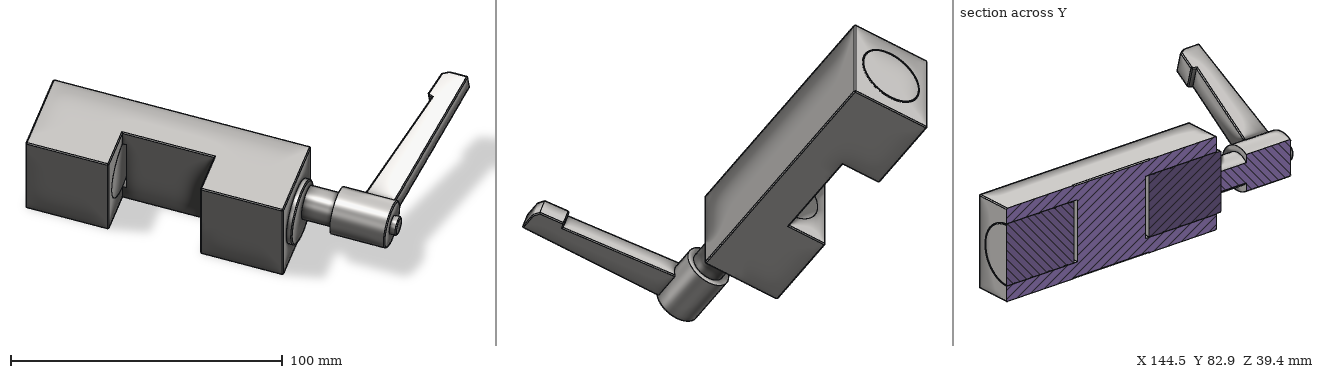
import cadquery as cq

OVERALL_LENGTH = 144.5

BLOCK_LENGTH = 100.0
BLOCK_WIDTH = 32.0
BLOCK_HEIGHT = 38.0
SLOT_LENGTH = 35.5
SLOT_DEPTH = BLOCK_WIDTH / 2
EDGE_CHAMFER = 0.5
JAW_LENGTH = (BLOCK_LENGTH - SLOT_LENGTH) / 2

BORE_DIAMETER = 25.0
BORE_OVERRUN = 1.5

FLANGE_HEIGHT = 2.2
DISC_CHAMFER = 0.5

LEVER_OFFSET_Y = 5.0
LEVER_ANGLE = 14.8
STEM_DIAMETER = 13.0
STEM_LENGTH = 11.8
HUB_DIAMETER = 18.0
HUB_LENGTH = 21.2
PIN_DIAMETER = 7.1
PIN_LENGTH = 2.6
TURNED_CHAMFER = 0.5

ARM_THICKNESS = 9.1
ARM_REACH = 63.0
ARM_CHAMFER = 0.5
TIP_LENGTH = 7.2
TIP_CORNER_X = 2.6
TIP_CORNER_DROP = 1.5
PAD_HEIGHT = 1.9
PAD_END_REACH = 52.0
NOTCH_REACH = 51.3
ROOT_FRONT = 14.6
ROOT_BACK = 2.3
NOTCH_FRONT = 1.0

FLANGE_END = BLOCK_LENGTH + FLANGE_HEIGHT
HUB_START = FLANGE_END + STEM_LENGTH
HUB_END = HUB_START + HUB_LENGTH


def cylinder_x(start, length, diameter):
    """Cylinder on the X axis."""
    return cq.Workplane("YZ", origin=(start, 0, 0)).circle(diameter / 2).extrude(length)


def make_block():
    """Slotted block with chamfered edges and a bore through each jaw."""
    slot_end = JAW_LENGTH + SLOT_LENGTH
    front = -BLOCK_WIDTH / 2
    back = BLOCK_WIDTH / 2
    slot_floor = front + SLOT_DEPTH
    outline = [
        (0, front),
        (JAW_LENGTH, front),
        (JAW_LENGTH, slot_floor),
        (slot_end, slot_floor),
        (slot_end, front),
        (BLOCK_LENGTH, front),
        (BLOCK_LENGTH, back),
        (0, back),
    ]
    bottom = cq.Workplane("XY", origin=(0, 0, -BLOCK_HEIGHT / 2))
    block = bottom.polyline(outline).close().extrude(BLOCK_HEIGHT)
    block = block.faces("<Z or >Z or <Y or <X or >X").edges().chamfer(EDGE_CHAMFER)
    bore_depth = JAW_LENGTH + BORE_OVERRUN
    for start in (0, BLOCK_LENGTH - bore_depth):
        block = block.cut(cylinder_x(start, bore_depth, BORE_DIAMETER))
    return block


def make_fixed_disc():
    """Disc that fills the bore of the first jaw, flush with both jaw faces."""
    return cylinder_x(0, JAW_LENGTH, BORE_DIAMETER).faces("<X").chamfer(DISC_CHAMFER)


def make_flanged_disc():
    """Disc that fills the bore of the second jaw and stands out beyond the block."""
    disc = cylinder_x(BLOCK_LENGTH - JAW_LENGTH, JAW_LENGTH + FLANGE_HEIGHT, BORE_DIAMETER)
    return disc.faces(">X").chamfer(DISC_CHAMFER)


def make_arm():
    """Tapered arm with a thumb pad at the tip, standing along +Y from the X axis."""
    root_back = HUB_END - ROOT_BACK
    back_lean = (OVERALL_LENGTH - root_back) / (ARM_REACH - ARM_CHAMFER)
    tip_back = root_back + back_lean * ARM_REACH
    tip_front = tip_back - TIP_LENGTH
    root_front = HUB_END - ROOT_FRONT
    notch_front = HUB_END - NOTCH_FRONT
    pad_end = (notch_front - PAD_HEIGHT, PAD_END_REACH)
    outline = [
        (root_front, 0),
        (notch_front, NOTCH_REACH),
        pad_end,
        (tip_front - TIP_CORNER_X, ARM_REACH - TIP_CORNER_DROP),
        (tip_front, ARM_REACH),
        (tip_back, ARM_REACH),
        (root_back, 0),
    ]
    underside = cq.Workplane("XY", origin=(0, 0, -ARM_THICKNESS / 2))
    arm = underside.polyline(outline).close().extrude(ARM_THICKNESS)
    arm = arm.edges(cq.NearestToPointSelector((*pad_end, 0))).chamfer(ARM_CHAMFER)
    return arm.faces("<Z or >Z or >Y").edges().chamfer(ARM_CHAMFER)


def make_lever():
    """Stem, hub, end pin and arm, turned about the lever axis."""
    stem = cylinder_x(FLANGE_END, STEM_LENGTH, STEM_DIAMETER)
    hub = cylinder_x(HUB_START, HUB_LENGTH, HUB_DIAMETER).faces(">X").chamfer(TURNED_CHAMFER)
    pin = cylinder_x(HUB_END, PIN_LENGTH, PIN_DIAMETER).faces(">X").chamfer(TURNED_CHAMFER)
    lever = stem.union(hub).union(pin).union(make_arm())
    return lever.rotate((0, 0, 0), (1, 0, 0), LEVER_ANGLE).translate((0, LEVER_OFFSET_Y, 0))


block = make_block()
fixed_disc = make_fixed_disc()
flanged_disc = make_flanged_disc()
lever = make_lever()

result = cq.Compound.makeCompound([block.val(), fixed_disc.val(), flanged_disc.val(), lever.val()])